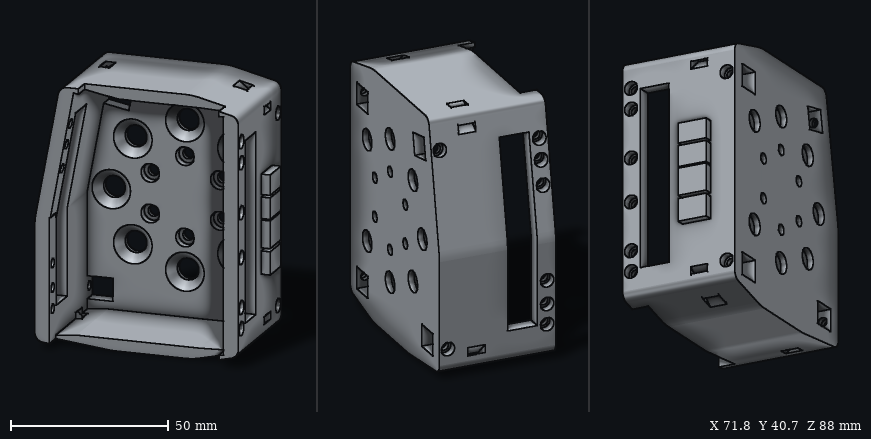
import cadquery as cq
import math


depth = 40.7
height = 88.0
wall = 5.0
front_y = -depth / 2
back_y = depth / 2
floor_y = back_y - wall
top_z = height / 2
left_x = -38.0
right_x = 30.8
inner_left_x = left_x + wall
inner_right_x = right_x - wall

lean_angle = 10.5
bend_z = -1.0
bend_radius = 20.0
corner_radius = 3.0
taper_start_x = 13.3
taper_angle = 13.2
foot_start_x = -14.1
foot_angle = 6.0

inner_end_z = 40.0
inner_side_z = 39.7
inner_taper_x = 15.7
inner_foot_x = -26.0
inner_shoulder_x = -12.0

notch_depth = 5.8
notch_right_x = 24.3
notch_top_left_x = -23.2

large_circle_radius = 24.9
large_positions = 8
large_hole = 7.2
countersink = 13.0
countersink_angle = 90
small_circle_radius = 13.55
small_count = 6
small_first_angle = 30
small_hole = 3.5
small_counterbore = 6.2
small_counterbore_depth = 3.0

window_width = 8.6
window_height = 7.7
upper_window_z = 30.5
lower_window_z = -33.5
leaning_window_z = 32.1

left_hole = 3.0
right_hole = 2.9
screw_head = 4.6
screw_head_depth = 3.0
screw_overrun = 1.8
screw_offset_y = 17.3
shared_screw_z = (24.1, 31.15)
left_inner_screw_z = 15.9
right_inner_screw_z = 7.5

slot_center_y = -8.7
slot_width = 10.3
slot_bottom_z = -31.0
left_slot_top_z = 33.7
right_slot_top_z = 30.45

strap_width = 6.0
strap_thickness = 2.0
strap_y = 7.4
strap_overrun = 3.5

pad_height = 3.0
pad_embed = 0.9
pad_width = 10.1
pad_y = 6.5
pad_spans = ((-18.5, -10.7), (-9.7, -0.4), (0.1, 7.2), (8.1, 14.9))

lean = math.radians(lean_angle)
taper = math.tan(math.radians(taper_angle))
foot = math.tan(math.radians(foot_angle))
lean_slope = math.tan(lean)
inner_bend_z = bend_z - wall * math.tan(lean / 2)


def outer_left_x(z):
    """X of the outer face of the leaning wall at height z."""
    return left_x + (z - bend_z) * lean_slope


def inner_leaning_x(z):
    """X of the inner face of the leaning wall at height z."""
    return inner_left_x + (z - inner_bend_z) * lean_slope


leaning_strap_z = 38.5
strap_ends = (
    ((outer_left_x(leaning_strap_z), leaning_strap_z), (-23.2, top_z)),
    ((left_x, -35.6), (-30.8, -42.2)),
    ((right_x, 35.0), (22.4, 41.9)),
    ((right_x, -34.8), (20.3, -42.3)),
)


def prism(points, y_start, y_end):
    """Extrude an XZ outline from y_start to y_end."""
    sketch = cq.Workplane("XZ", origin=(0, y_start, 0)).polyline(points).close()
    return sketch.extrude(y_start - y_end)


def block(x_range, y_range, z_range):
    """Box between the given limits."""
    size = [high - low for low, high in (x_range, y_range, z_range)]
    corner = (x_range[0], y_range[0], z_range[0])
    return cq.Workplane("XY").box(*size, centered=False).translate(corner)


def rod(start, direction, diameter, length):
    """Cylinder from a start point along a direction."""
    solid = cq.Solid.makeCylinder(diameter / 2, length, cq.Vector(*start), cq.Vector(*direction))
    return cq.Workplane(solid)


def edges_near(body, x, z):
    """The outline edge along Y that passes through (x, z)."""
    return body.edges(cq.selectors.NearestToPointSelector((x, 0, z)))


def make_body():
    side_z = top_z - (right_x - taper_start_x) * taper
    foot_z = -top_z + (foot_start_x - left_x) * foot
    top_left = (outer_left_x(top_z), top_z)
    bend = (left_x, bend_z)
    bottom_left = (left_x, foot_z)
    foot_start = (foot_start_x, -top_z)
    corners = (top_left, bottom_left, (right_x, side_z), (right_x, -side_z))
    bends = (bend, foot_start, (taper_start_x, top_z), (taper_start_x, -top_z))
    outline = [
        top_left, bend, bottom_left, foot_start,
        (taper_start_x, -top_z), (right_x, -side_z), (right_x, side_z), (taper_start_x, top_z),
    ]
    body = prism(outline, front_y, back_y)
    for points, radius in ((corners, corner_radius), (bends, bend_radius)):
        for x, z in points:
            body = edges_near(body, x, z).fillet(radius)
    return body


def make_cavity():
    run = inner_shoulder_x - inner_leaning_x(inner_end_z)
    peak_z = inner_end_z + run * math.sin(lean) * math.cos(lean)
    foot_z = -inner_end_z - (inner_foot_x - inner_left_x) * foot
    outline = [
        (inner_leaning_x(peak_z), peak_z),
        (inner_left_x, inner_bend_z),
        (inner_left_x, foot_z),
        (inner_foot_x, -inner_end_z),
        (inner_taper_x, -inner_end_z),
        (inner_right_x, -inner_side_z),
        (inner_right_x, inner_side_z),
        (inner_taper_x, inner_end_z),
        (inner_shoulder_x, inner_end_z),
    ]
    return prism(outline, front_y, floor_y)


def make_notches():
    y_range = (front_y, front_y + notch_depth)
    upper = block((notch_top_left_x, notch_right_x), y_range, (0, top_z))
    lower = block((inner_left_x, notch_right_x), y_range, (-top_z, 0))
    return upper.union(lower)


def drill_back_plate(body):
    plate = cq.Workplane("XZ", origin=(0, floor_y, 0))
    small_holes = plate.polarArray(small_circle_radius, small_first_angle, 360, small_count)
    cuts = small_holes.circle(small_hole / 2).extrude(-wall)
    cuts = cuts.union(small_holes.circle(small_counterbore / 2).extrude(-small_counterbore_depth))
    cone_depth = (countersink - large_hole) / 2 / math.tan(math.radians(countersink_angle / 2))
    for position in range(1, large_positions):
        angle = 2 * math.pi * position / large_positions
        x = large_circle_radius * math.cos(angle)
        z = large_circle_radius * math.sin(angle)
        cone = cq.Solid.makeCone(
            countersink / 2, large_hole / 2, cone_depth, cq.Vector(x, floor_y, z), cq.Vector(0, 1, 0)
        )
        cuts = cuts.union(cq.Workplane(cone)).union(rod((x, floor_y, z), (0, 1, 0), large_hole, wall))
    return body.cut(cuts)


def make_windows():
    y_range = (floor_y, back_y)

    def window(x, z):
        return block((x, x + window_width), y_range, (z - window_height / 2, z + window_height / 2))

    right_window_x = inner_right_x - window_width
    pivot_x = inner_leaning_x(leaning_window_z)
    axis_start = (pivot_x, 0, leaning_window_z)
    axis_end = (pivot_x, 1, leaning_window_z)
    leaning = window(pivot_x, leaning_window_z).rotate(axis_start, axis_end, lean_angle)
    windows = leaning.union(window(inner_left_x, lower_window_z))
    for z in (upper_window_z, lower_window_z):
        windows = windows.union(window(right_window_x, z))
    return windows


def screw_cut(inner_point, outward, hole, thickness):
    """Screw hole from the inner face of a wall outwards, with a head recess at the outer face."""
    shank_start = [p - d * screw_overrun for p, d in zip(inner_point, outward)]
    head_start = [p + d * (thickness - screw_head_depth) for p, d in zip(inner_point, outward)]
    shank = rod(shank_start, outward, hole, thickness + screw_overrun)
    return shank.union(rod(head_start, outward, screw_head, screw_head_depth + screw_overrun))


def drill_side_walls(body):
    to_left = (-1, 0, 0)
    to_right = (1, 0, 0)
    square_to_lean = (-math.cos(lean), 0, math.sin(lean))
    lean_thickness = wall / math.cos(lean)
    cuts = []
    for z in (left_inner_screw_z,) + shared_screw_z:
        upper = (inner_leaning_x(z), -screw_offset_y, z)
        cuts.append(screw_cut(upper, to_left, left_hole, lean_thickness))
        cuts.append(screw_cut((inner_left_x, -screw_offset_y, -z), to_left, left_hole, wall))
    for z in (right_inner_screw_z,) + shared_screw_z:
        for side_z in (z, -z):
            cuts.append(screw_cut((inner_right_x, -screw_offset_y, side_z), to_right, right_hole, wall))
    leaning_point = (inner_leaning_x(leaning_window_z), screw_offset_y, leaning_window_z)
    cuts.append(screw_cut(leaning_point, square_to_lean, left_hole, wall))
    cuts.append(screw_cut((inner_left_x, screw_offset_y, lower_window_z), to_left, left_hole, wall))
    for z in (upper_window_z, lower_window_z):
        cuts.append(screw_cut((inner_right_x, screw_offset_y, z), to_right, right_hole, wall))
    for cut in cuts:
        body = body.cut(cut)
    return body


def make_long_slots():
    y_range = (slot_center_y - slot_width / 2, slot_center_y + slot_width / 2)
    left = block((left_x, 0), y_range, (slot_bottom_z, left_slot_top_z))
    right = block((0, right_x), y_range, (-right_slot_top_z, right_slot_top_z))
    return left.union(right)


def make_strap_slot(side_point, end_point):
    """Straight flat slot that joins a point on a side wall to a point on an end wall."""
    dx = end_point[0] - side_point[0]
    dz = end_point[1] - side_point[1]
    middle = (side_point[0] + dx / 2, strap_y, side_point[1] + dz / 2)
    length = math.hypot(dx, dz) + 2 * strap_overrun
    slot = cq.Workplane("XY").box(length, strap_width, strap_thickness)
    return slot.rotate((0, 0, 0), (0, 1, 0), -math.degrees(math.atan2(dz, dx))).translate(middle)


def make_pads():
    pads = cq.Workplane("XY")
    x_range = (right_x - pad_embed, right_x + pad_height)
    y_range = (pad_y - pad_width / 2, pad_y + pad_width / 2)
    for z_range in pad_spans:
        pads = pads.union(block(x_range, y_range, z_range))
    return pads


body = make_body().cut(make_cavity()).cut(make_notches())
body = drill_back_plate(body).cut(make_windows())
body = drill_side_walls(body).cut(make_long_slots())
for side_point, end_point in strap_ends:
    body = body.cut(make_strap_slot(side_point, end_point))
result = body.union(make_pads())